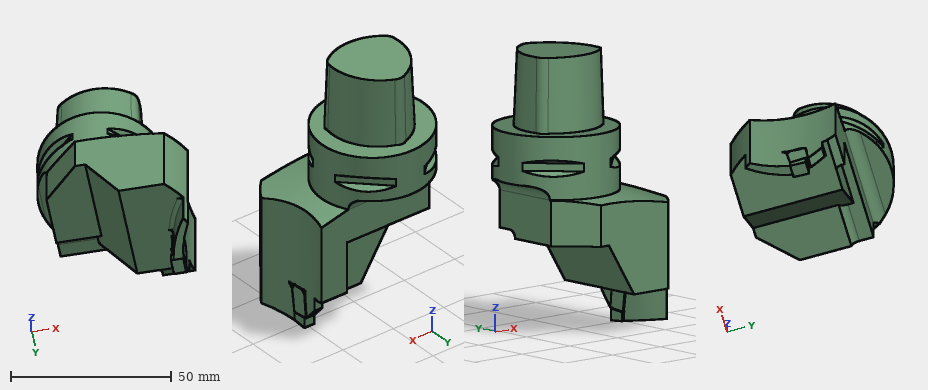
import cadquery as cq
import math


overall_length = 50.65
overall_depth = 45.0
overall_height = 89.0

shank_height = 23.9
shank_top_radii = (14.2, 13.9, 12.1)
shank_base_radii = (15.1, 14.5, 13.2)
lobe_half_angle = 8

collar_radius = 40.0 / 2
collar_height = 20.0
relief_z = -16.0
relief_radius = 4.0
slot_z = -collar_height / 2
slot_floor_height = 2.5
slot_mouth_height = 5.2
slot_floor_offset = 17.5

left_x = -14.8
back_y = 10.0
front_y = collar_radius - overall_depth
corner_y = -14.0
bevel_x = left_x + corner_y - front_y
outer_radius = 35.1
tip_x = overall_length - collar_radius
tip_y = -math.sqrt(outer_radius ** 2 - tip_x ** 2)
hollow_radius = 38.1
hollow_center_x = tip_x + math.sqrt(hollow_radius ** 2 - tip_y ** 2)
cone_angle = 15
cone_drop = (outer_radius - collar_radius) * math.tan(math.radians(cone_angle))
heel_z = -34.6
body_bottom = -51.5
ramp_top_x = -0.45
ramp_bottom_x = 10.15
ramp_run_per_height = (ramp_bottom_x - ramp_top_x) / (heel_z - body_bottom)

pocket_z = -32.0
pocket_y = 2.8
pocket_radius = pocket_z - heel_z
notch_y = 7.1
notch_wall_x = 17.8
notch_fillet = 1.0
back_bevel_rise = 1.0

blade_front_y = -18.8
blade_back_y = 5.25
blade_inner_x = 23.5
blade_inner_radius = 32.9
blade_front_z = -62.75
blade_nose_z = -56.1
blade_root_radius = 1.4

insert_front_x = 23.5
insert_back_x = 27.0
insert_left_top_y = -0.1
insert_right_top_y = -6.1
insert_left_y = 0.7
insert_right_y = -5.1
insert_left_z = -61.15
insert_right_z = -61.7
insert_corner = 1.1
gap_width = 1.25
gap_z = -53.05
edge_z = shank_height - overall_height
edge_x = 23.05
heel_edge_z = -64.6

margin = 8.9


def polar(radius, angle):
    a = math.radians(angle)
    return (radius * math.cos(a), radius * math.sin(a))


def lobed_outline(plane, radii):
    """Three rounded lobes, one toward +Y, joined by flatter arcs."""
    tip, end, flat = radii
    outline = plane.moveTo(*polar(end, 90 - lobe_half_angle))
    for lobe in (90, 210, 330):
        outline = outline.threePointArc(polar(tip, lobe), polar(end, lobe + lobe_half_angle))
        outline = outline.threePointArc(polar(flat, lobe + 60), polar(end, lobe + 120 - lobe_half_angle))
    return outline.close()


def make_shank():
    base = lobed_outline(cq.Workplane("XY"), shank_base_radii)
    return lobed_outline(base.workplane(offset=shank_height), shank_top_radii).loft(ruled=True)


def collar_relief(plane, wall, outward):
    """Cutter below the collar, outside one side wall, with a rounded inner corner."""
    far = wall + outward * 2 * margin
    bend = relief_radius * math.sqrt(0.5)
    return (
        cq.Workplane(plane)
        .moveTo(wall, -collar_height - margin)
        .lineTo(wall, relief_z - relief_radius)
        .threePointArc(
            (wall + outward * (relief_radius - bend), relief_z - relief_radius + bend),
            (wall + outward * relief_radius, relief_z),
        )
        .lineTo(far, relief_z)
        .lineTo(far, -collar_height - margin)
        .close()
        .extrude(2 * collar_radius, both=True)
    )


def gripper_slot(angle):
    """Straight slot with a flat floor and flared top and bottom walls."""
    slope = (slot_mouth_height - slot_floor_height) / 2 / (collar_radius - slot_floor_offset)
    outer = collar_radius + 0.9
    outer_half = slot_floor_height / 2 + slope * (outer - slot_floor_offset)
    return (
        cq.Workplane("XZ")
        .polyline([
            (slot_floor_offset, slot_z - slot_floor_height / 2),
            (outer, slot_z - outer_half),
            (outer, slot_z + outer_half),
            (slot_floor_offset, slot_z + slot_floor_height / 2),
        ])
        .close()
        .extrude(collar_radius, both=True)
        .rotate((0, 0, 0), (0, 0, 1), angle)
    )


def make_collar():
    collar = cq.Workplane("XY").circle(collar_radius).extrude(-collar_height)
    collar = collar.cut(collar_relief("XZ", left_x, -1)).cut(collar_relief("YZ", back_y, 1))
    for angle in (45, 135, 225, 315):
        collar = collar.cut(gripper_slot(angle))
    return collar


def hollow_x(y):
    return hollow_center_x - math.sqrt(hollow_radius ** 2 - y ** 2)


def body_prism():
    outer_angle = math.degrees(math.atan2(tip_y, tip_x))
    front_angle = -math.degrees(math.asin(-front_y / outer_radius))
    return (
        cq.Workplane("XY")
        .workplane(offset=body_bottom)
        .moveTo(left_x, back_y)
        .lineTo(left_x, corner_y)
        .lineTo(bevel_x, front_y)
        .lineTo(*polar(outer_radius, front_angle))
        .threePointArc(polar(outer_radius, (outer_angle + front_angle) / 2), (tip_x, tip_y))
        .threePointArc((hollow_x(0), 0), (hollow_x(back_y), back_y))
        .close()
        .extrude(-collar_height - body_bottom)
    )


def conical_envelope():
    """Solid of revolution whose sloping top falls away from the collar."""
    far_radius = outer_radius + margin
    far_z = -collar_height - cone_drop * (far_radius - collar_radius) / (outer_radius - collar_radius)
    return (
        cq.Workplane("XZ")
        .polyline([
            (0, body_bottom),
            (far_radius, body_bottom),
            (far_radius, far_z),
            (collar_radius, -collar_height),
            (0, -collar_height),
        ])
        .close()
        .revolve(360, (0, 0, 0), (0, 1, 0))
    )


def ramp_cutter():
    """Space below the heel and in front of the sloping underside."""
    return (
        cq.Workplane("XZ")
        .polyline([
            (left_x - margin, heel_z),
            (ramp_top_x, heel_z),
            (ramp_bottom_x, body_bottom),
            (left_x - margin, body_bottom),
        ])
        .close()
        .extrude(outer_radius, both=True)
    )


def heel_pocket():
    """Round-cornered step at the back of the heel, ending at the ramp plane."""
    bend = pocket_radius * math.sqrt(0.5)
    step = (
        cq.Workplane("YZ")
        .workplane(offset=left_x)
        .moveTo(pocket_y, heel_z)
        .threePointArc(
            (pocket_y + pocket_radius - bend, heel_z + bend),
            (pocket_y + pocket_radius, pocket_z),
        )
        .lineTo(back_y, pocket_z)
        .lineTo(back_y, heel_z)
        .close()
        .extrude(ramp_top_x - left_x)
    )
    ramp_limit = (
        cq.Workplane("XZ")
        .polyline([
            (left_x, heel_z),
            (ramp_top_x, heel_z),
            (ramp_top_x - ramp_run_per_height * pocket_radius, pocket_z),
            (left_x, pocket_z),
        ])
        .close()
        .extrude(outer_radius, both=True)
    )
    return step.intersect(ramp_limit)


def back_notch():
    """Notch along the back of the ramp, closed by a wall with a rounded corner."""
    return (
        cq.Workplane("XY")
        .workplane(offset=body_bottom)
        .moveTo(left_x, notch_y)
        .lineTo(notch_wall_x - notch_fillet, notch_y)
        .radiusArc((notch_wall_x, notch_y + notch_fillet), -notch_fillet)
        .lineTo(notch_wall_x, back_y)
        .lineTo(left_x, back_y)
        .close()
        .extrude(pocket_z - body_bottom)
    )


def back_bevel():
    """Shallow bevel under the back edge of the body."""
    return (
        cq.Workplane("YZ")
        .polyline([(notch_y, body_bottom), (back_y, body_bottom), (back_y, body_bottom + back_bevel_rise)])
        .close()
        .extrude(outer_radius)
    )


def make_body():
    body = body_prism().intersect(conical_envelope())
    for cutter in (ramp_cutter(), heel_pocket(), back_notch(), back_bevel()):
        body = body.cut(cutter)
    return body


def blade_inner(y):
    return blade_inner_x + blade_inner_radius - math.sqrt(blade_inner_radius ** 2 - y ** 2)


def make_blade():
    """Crescent blade whose back continues the hollow and outer faces of the body."""
    crescent = (
        cq.Workplane("XY")
        .workplane(offset=body_bottom)
        .moveTo(blade_inner(blade_back_y), blade_back_y)
        .threePointArc((blade_inner_x, 0), (blade_inner(blade_front_y), blade_front_y))
        .lineTo(math.sqrt(outer_radius ** 2 - blade_front_y ** 2), blade_front_y)
        .radiusArc((tip_x, tip_y), -outer_radius)
        .threePointArc((hollow_x(tip_y / 2), tip_y / 2), (hollow_x(blade_back_y), blade_back_y))
        .close()
        .extrude(edge_z - body_bottom)
    )
    side = (
        cq.Workplane("YZ")
        .polyline([
            (blade_front_y, body_bottom),
            (blade_front_y, blade_front_z),
            (insert_right_y, heel_edge_z),
            (insert_right_y, insert_right_z),
            (insert_left_y, insert_left_z),
            (blade_back_y, blade_nose_z),
            (blade_back_y, body_bottom),
        ])
        .close()
        .extrude(2 * outer_radius)
    )
    return crescent.intersect(side)


def insert_seat():
    """Slot through the blade, opened out beside the top of the insert."""
    return (
        cq.Workplane("YZ")
        .workplane(offset=blade_inner_x - margin / 2)
        .polyline([
            (insert_left_top_y, body_bottom),
            (insert_left_y, insert_left_z),
            (insert_right_y, insert_right_z),
            (insert_right_top_y, gap_z),
            (insert_right_top_y - gap_width, body_bottom),
        ])
        .close()
        .extrude(2 * margin)
    )


def make_holder():
    holder = make_shank().union(make_collar()).union(make_body()).union(make_blade())
    root = cq.selectors.BoxSelector(
        (blade_inner_x - 0.9, -margin, body_bottom - 0.1),
        (hollow_x(0) - 0.45, margin / 2, body_bottom + 0.1),
    )
    holder = holder.edges(root).fillet(blade_root_radius)
    return holder.cut(insert_seat()).solids()


def make_insert():
    """Tilted bar filling the seat, with its two top corners cut off."""
    return (
        cq.Workplane("YZ")
        .workplane(offset=insert_front_x)
        .polyline([
            (insert_left_top_y - insert_corner, body_bottom),
            (insert_left_top_y, body_bottom - insert_corner),
            (insert_left_y, insert_left_z),
            (insert_right_y, insert_right_z),
            (insert_right_top_y, gap_z),
            (insert_right_top_y + insert_corner, body_bottom),
        ])
        .close()
        .extrude(insert_back_x - insert_front_x)
    )


def make_cutting_tip():
    """Cutting tip below the insert, with its edge at the lowest point of the tool."""
    top_slope = (insert_right_z - insert_left_z) / (insert_left_y - insert_right_y)
    edge_top_z = insert_left_z + top_slope * insert_left_y
    return (
        cq.Workplane("YZ")
        .workplane(offset=edge_x)
        .polyline([
            (0, edge_top_z),
            (0, edge_z),
            (insert_right_y, heel_edge_z),
            (insert_right_y, insert_right_z),
        ])
        .close()
        .extrude(insert_back_x - edge_x)
    )


holder = make_holder()
insert = make_insert()
cutting_tip = make_cutting_tip()

result = cq.Compound.makeCompound([holder.val(), insert.val(), cutting_tip.val()])